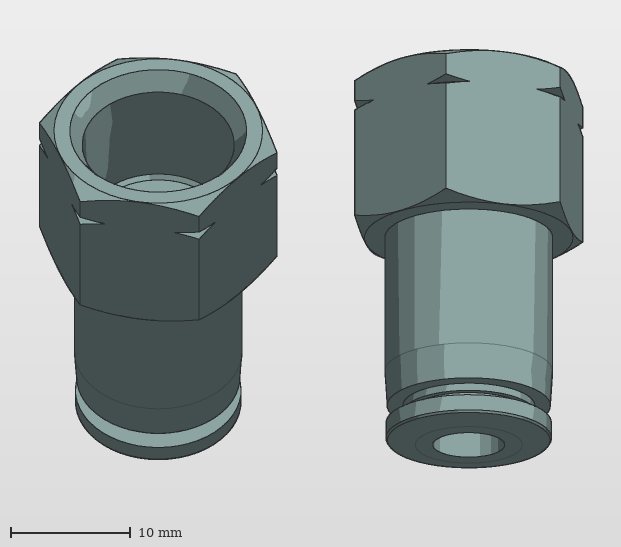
import cadquery as cq
import math

total_height = 31.9
across_flats = 17.45
across_corners = across_flats / math.cos(math.pi / 6)
corner_radius = across_corners / 2
nut_height = 13.53
nut_bottom = total_height - nut_height
chamfer_circle_radius = across_flats / 2 - 0.03
chamfer_angle = math.radians(30)
corner_chamfer_height = (corner_radius - chamfer_circle_radius) * math.tan(chamfer_angle)

groove_z = total_height - 3.0
groove_root_radius = 9.22
groove_half_width = 0.4

body_radius = 14.0 / 2
taper_top = 6.5
taper_bottom = 3.48
taper_end_radius = 13.62 / 2

collar_radius = 11.0 / 2
collar_bottom = 2.85
neck_radius = 9.95 / 2
neck_bottom = 2.2
neck_flare_radius = 10.45 / 2
flange_radius = 13.8 / 2
flange_top = 1.95
flange_rim_bottom = 0.6
flange_edge_inset = 0.13
flange_edge_z = 0.4
end_face_radius = 4.47

bore_mouth_radius = 14.75 / 2
bore_mouth_depth = 1.6
bore_top_radius = 12.65 / 2
bore_bottom_radius = 12.1 / 2
bore_taper = 1 / 16
bore_length = 2 * (bore_top_radius - bore_bottom_radius) / bore_taper
floor_radius = 11.4 / 2
floor_cone_height = bore_bottom_radius - floor_radius
through_hole_diameter = 6.0


def revolve_profile(points):
    """Revolve a closed outline of (radius, height) points about the Z axis."""
    return cq.Workplane("XZ").polyline(points).close().revolve(360, (0, 0), (0, 1))


def make_nut():
    hexagon = (
        cq.Workplane("XY")
        .workplane(offset=nut_bottom)
        .polygon(6, across_corners)
        .extrude(nut_height)
        .rotate((0, 0, 0), (0, 0, 1), 30)
    )
    envelope = revolve_profile([
        (0, nut_bottom),
        (chamfer_circle_radius, nut_bottom),
        (corner_radius, nut_bottom + corner_chamfer_height),
        (corner_radius, groove_z - groove_half_width),
        (groove_root_radius, groove_z),
        (corner_radius, groove_z + groove_half_width),
        (corner_radius, total_height - corner_chamfer_height),
        (chamfer_circle_radius, total_height),
        (0, total_height),
    ])
    return hexagon.intersect(envelope)


def make_body():
    return revolve_profile([
        (0, 0),
        (end_face_radius, 0),
        (flange_radius - flange_edge_inset, flange_edge_z),
        (flange_radius, flange_rim_bottom),
        (flange_radius, flange_top),
        (neck_flare_radius, flange_top),
        (neck_radius, neck_bottom),
        (neck_radius, collar_bottom),
        (collar_radius, collar_bottom),
        (collar_radius, taper_bottom),
        (taper_end_radius, taper_bottom),
        (body_radius, taper_top),
        (body_radius, nut_bottom),
        (0, nut_bottom),
    ])


def make_threaded_bore():
    bore_top = total_height - bore_mouth_depth
    bore_bottom = bore_top - bore_length
    floor_z = bore_bottom - floor_cone_height
    return revolve_profile([
        (0, floor_z),
        (floor_radius, floor_z),
        (bore_bottom_radius, bore_bottom),
        (bore_top_radius, bore_top),
        (bore_mouth_radius, total_height),
        (0, total_height),
    ])


through_hole = cq.Workplane("XY").circle(through_hole_diameter / 2).extrude(total_height)

result = make_nut().union(make_body()).cut(make_threaded_bore()).cut(through_hole)